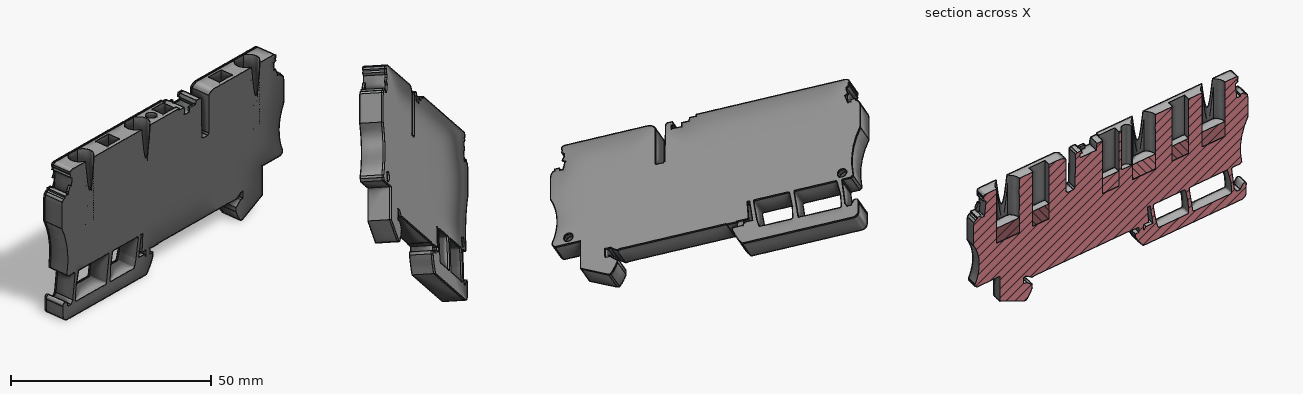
import cadquery as cq

THICKNESS = 6.1
HALF_LENGTH = 41.7
HEIGHT = 42.6
PLATE_THICKNESS = 0.5

BELLY_Z = 12.3
RAIL_Z = 7.1
FOOT_LEDGE_Z = 6.2
FOOT_TOE_Z = 5.3
FOOT_FLOOR_Z = 3.8
GROOVE_Z = 41.1
MARKER_TOP_Z = 42.1

ENTRY_X = 3.125
WIRE_Y = (31.2, -10.1, -31.2)
WIRE_LENGTH = 6.8
WIRE_WIDTH = 6.0
WIRE_WALL = 0.3
DRIVER_Y = (21.2, 0.0, -21.2)
DRIVER_LENGTH = 4.8
DRIVER_WIDTH = 3.75
TEST_Y = -4.75
TEST_DIAMETER = 2.9
ENTRY_DEPTH = 13.3
INSERT_HEIGHT = 5.0

RELIEF_X = 4.4
RELIEF_TOP_RADIUS = 2.3
RELIEF_DEPTH = ENTRY_DEPTH

SOCKET_Y = 36.8
SOCKET_Z = 14.25
SOCKET_DIAMETER = 2.5
SOCKET_DEPTH = 1.7

LIP = 0.6
POCKET_Y = (6.3, 9.2)
POCKET_FLOOR_Z = 39.9

WEB_Y = (-10.1, -8.5)

WINDOW_FILLET = 0.4


def end_edge(side):
    """Stepped end from below the rounded top corner down to the thumb grip; side is +1 or -1 along Y."""
    points = [
        (38.7, 42.1),
        (38.7, 41.5),
        (38.4, 41.2),
        (38.7, 40.6),
        (37.9, 40.1),
        (37.9, 39.3),
        (39.25, 36.7),
        (39.25, 36.0),
        (40.5, 36.0),
        (40.5, 35.5),
        (41.0, 35.3),
        (41.5, 34.7),
        (HALF_LENGTH, 33.7),
        (HALF_LENGTH, 27.1),
    ]
    return [(side * y, z) for y, z in points]


def side_outline(start_x, depth):
    """Solid with the outline of the terminal, spanning depth along X from start_x."""
    outline = cq.Workplane("YZ", origin=(start_x, 0, 0)).moveTo(15.6, HEIGHT)
    outline = outline.lineTo(37.6, HEIGHT).threePointArc((38.25, 42.4), (38.7, 42.1))
    for point in end_edge(1)[1:]:
        outline = outline.lineTo(*point)
    outline = (
        outline
        .threePointArc((39.9, 20.2), (41.2, 13.7))
        .lineTo(41.2, 13.0)
        .lineTo(40.5, BELLY_Z)
        .lineTo(33.6, BELLY_Z)
        .lineTo(33.6, 3.9)
        .lineTo(26.1, 0.1)
        .lineTo(25.5, 0.1)
        .threePointArc((24.5, 1.6), (23.75, 3.3))
        .lineTo(23.75, 4.6)
        .lineTo(25.5, FOOT_LEDGE_Z)
        .lineTo(26.3, FOOT_LEDGE_Z)
        .lineTo(26.3, 8.2)
        .lineTo(25.5, 8.2)
        .lineTo(23.8, 6.9)
        .lineTo(22.8, RAIL_Z)
    )
    outline = (
        outline
        .lineTo(-5.7, RAIL_Z)
        .lineTo(-5.7, 6.9)
        .lineTo(WEB_Y[1], 6.9)
        .lineTo(WEB_Y[1], RAIL_Z)
        .lineTo(-11.6, RAIL_Z)
        .lineTo(-11.25, BELLY_Z)
        .lineTo(-11.9, BELLY_Z)
        .lineTo(-12.75, FOOT_LEDGE_Z)
        .lineTo(-10.7, FOOT_LEDGE_Z)
        .lineTo(WEB_Y[0], FOOT_TOE_Z)
        .lineTo(-7.4, FOOT_TOE_Z)
        .lineTo(-7.4, 4.5)
        .threePointArc((-8.4, 2.2), (-9.9, 0))
        .lineTo(-39.9, 0)
        .threePointArc((-40.8, 0.6), (-41.2, 1.8))
        .lineTo(-41.2, 4.3)
        .threePointArc((-40.6, FOOT_TOE_Z), (-39.8, 4.9))
        .lineTo(-39.25, 3.75)
        .lineTo(-38.25, 3.75)
        .lineTo(-37.6, 4.75)
        .lineTo(-36.75, 11.9)
        .lineTo(-36.9, BELLY_Z)
    )
    outline = (
        outline
        .lineTo(-39.2, BELLY_Z)
        .lineTo(-39.75, 12.8)
        .lineTo(-39.75, 13.3)
        .threePointArc((-39.4, 17.7), (-HALF_LENGTH, 27.1))
    )
    for point in reversed(end_edge(-1)[:-1]):
        outline = outline.lineTo(*point)
    outline = (
        outline
        .threePointArc((-38.25, 42.4), (-37.6, HEIGHT))
        .lineTo(2.4, HEIGHT)
        .lineTo(2.4, MARKER_TOP_Z)
        .lineTo(4.2, MARKER_TOP_Z)
        .lineTo(4.4, GROOVE_Z)
        .lineTo(8.5, GROOVE_Z)
        .lineTo(8.8, MARKER_TOP_Z)
        .lineTo(10.2, MARKER_TOP_Z)
        .lineTo(10.7, 41.8)
        .lineTo(10.9, 30.6)
        .lineTo(11.3, 30.2)
        .lineTo(13.1, 30.2)
        .lineTo(13.5, 30.6)
        .lineTo(13.5, 41.5)
        .threePointArc((14.5, 42.35), (15.6, HEIGHT))
        .close()
    )
    return outline.extrude(depth)


def prism(corners, start_x, depth):
    """Straight prism over a closed outline of Y, Z corners, spanning depth along X from start_x."""
    return cq.Workplane("YZ", origin=(start_x, 0, 0)).polyline(corners).close().extrude(depth)


def foot_windows():
    """Two slanted openings that leave the foot hanging on three thin legs."""
    corners = (
        [(-12.9, BELLY_Z), (-22.6, BELLY_Z), (-23.4, 7.7), (-23.6, FOOT_FLOOR_Z),
         (-14.5, FOOT_FLOOR_Z), (-13.8, 6.25)],
        [(-23.8, BELLY_Z), (-35.3, BELLY_Z), (-36.4, 7.7), (-36.7, FOOT_FLOOR_Z),
         (-25.0, FOOT_FLOOR_Z)],
    )
    windows = cq.Workplane("YZ")
    for outline in corners:
        window = prism(outline, 0, THICKNESS)
        windows = windows.add(window.edges("|X").fillet(WINDOW_FILLET))
    return windows.combine()


def mirrored(corners):
    """The same Y, Z corners at the opposite end of the terminal."""
    return [(-y, z) for y, z in corners]


def marker_pockets(start_x, depth):
    """Prisms of the pocket below the marker groove and of the slanted pocket at each end."""
    groove_pocket = [
        (POCKET_Y[0], GROOVE_Z),
        (POCKET_Y[0], POCKET_FLOOR_Z),
        (POCKET_Y[1], POCKET_FLOOR_Z),
        (POCKET_Y[1], GROOVE_Z),
    ]
    end_pocket = [(38.5, 38.2), (37.6, 37.7), (38.3, 35.3), (39.25, 35.3), (39.25, 36.7)]
    return [prism(corners, start_x, depth) for corners in (groove_pocket, end_pocket, mirrored(end_pocket))]


def marker_recesses():
    """Prisms that lower the marker groove and the slanted faces across the whole housing."""
    groove_recess = [
        (4.4, GROOVE_Z),
        (4.4, POCKET_FLOOR_Z),
        (POCKET_Y[1], POCKET_FLOOR_Z),
        (POCKET_Y[1], GROOVE_Z),
    ]
    end_recess = [(37.9, 39.3), (38.3, 35.3), (39.25, 35.3), (39.25, 36.7)]
    return [prism(corners, 0, THICKNESS) for corners in (groove_recess, end_recess, mirrored(end_recess))]


def wire_prism(y, top_z, depth):
    """Elliptical prism with flats at the plate and at the +X wall, hanging down from top_z."""
    ellipse = (
        cq.Workplane("XY", origin=(ENTRY_X, y, top_z))
        .ellipse(WIRE_WIDTH / 2, WIRE_LENGTH / 2)
        .extrude(-depth)
    )
    flats_width = THICKNESS - WIRE_WALL - PLATE_THICKNESS
    flats = cq.Workplane("XY").box(
        flats_width, WIRE_LENGTH, depth, centered=(False, True, False)
    ).translate((PLATE_THICKNESS, y, top_z - depth))
    return ellipse.intersect(flats)


def driver_prism(y, top_z, depth):
    """Rectangular prism hanging down from top_z."""
    return (
        cq.Workplane("XY", origin=(ENTRY_X, y, top_z))
        .rect(DRIVER_WIDTH, DRIVER_LENGTH)
        .extrude(-depth)
    )


def wire_relief(y):
    """Cone that opens the top of a wire entry through the +X face and closes on its wall lower down."""
    bottom_radius = THICKNESS - WIRE_WALL - RELIEF_X
    return cq.Workplane(
        cq.Solid.makeCone(
            bottom_radius, RELIEF_TOP_RADIUS, RELIEF_DEPTH, cq.Vector(RELIEF_X, y, HEIGHT - RELIEF_DEPTH)
        )
    )


def snap_sockets():
    """Two round blind sockets entering from the -X side."""
    return (
        cq.Workplane("YZ")
        .pushPoints([(SOCKET_Y, SOCKET_Z), (-SOCKET_Y, SOCKET_Z)])
        .circle(SOCKET_DIAMETER / 2)
        .extrude(SOCKET_DEPTH)
    )


def make_housing():
    """Main body with the foot, the top entries and the marker pockets."""
    housing = side_outline(PLATE_THICKNESS, THICKNESS - PLATE_THICKNESS)
    web = cq.Workplane("XY").box(
        THICKNESS - PLATE_THICKNESS, WEB_Y[1] - WEB_Y[0], RAIL_Z - FOOT_TOE_Z, centered=False
    ).translate((PLATE_THICKNESS, WEB_Y[0], FOOT_TOE_Z))
    housing = housing.union(web).cut(foot_windows())
    for recess in marker_recesses():
        housing = housing.cut(recess)
    for lip in marker_pockets(THICKNESS - LIP, LIP):
        housing = housing.union(lip)
    full_depth = ENTRY_DEPTH + INSERT_HEIGHT
    for y in WIRE_Y:
        housing = housing.cut(wire_prism(y, HEIGHT, full_depth)).cut(wire_relief(y))
    for y in DRIVER_Y:
        housing = housing.cut(driver_prism(y, HEIGHT, full_depth))
    test_hole = (
        cq.Workplane("XY", origin=(ENTRY_X, TEST_Y, HEIGHT))
        .circle(TEST_DIAMETER / 2)
        .extrude(-ENTRY_DEPTH)
    )
    return housing.cut(test_hole).cut(snap_sockets())


def make_cover_plate():
    """Thin plate on the -X side with two snap sockets and a wider mouth at the rail hook."""
    plate = side_outline(0, PLATE_THICKNESS).cut(foot_windows())
    for pocket in marker_pockets(0, PLATE_THICKNESS):
        plate = plate.cut(pocket)
    hook_mouth = prism(
        [(27.1, 8.2), (25.5, 8.2), (23.75, 4.6), (23.75, 3.9), (25.5, 5.4), (26.75, 5.4), (27.1, 5.8)],
        0,
        PLATE_THICKNESS,
    )
    return plate.cut(snap_sockets()).cut(hook_mouth)


def make_wire_insert(y):
    """Clamp that fills the bottom of a wire entry."""
    return wire_prism(y, HEIGHT - ENTRY_DEPTH, INSERT_HEIGHT)


def make_driver_insert(y):
    """Spring block that fills the bottom of a screwdriver entry."""
    return driver_prism(y, HEIGHT - ENTRY_DEPTH, INSERT_HEIGHT)


housing = make_housing()
cover_plate = make_cover_plate()
wire_inserts = [make_wire_insert(y).val() for y in WIRE_Y]
driver_inserts = [make_driver_insert(y).val() for y in DRIVER_Y]

result = cq.Compound.makeCompound([housing.val(), cover_plate.val(), *wire_inserts, *driver_inserts])